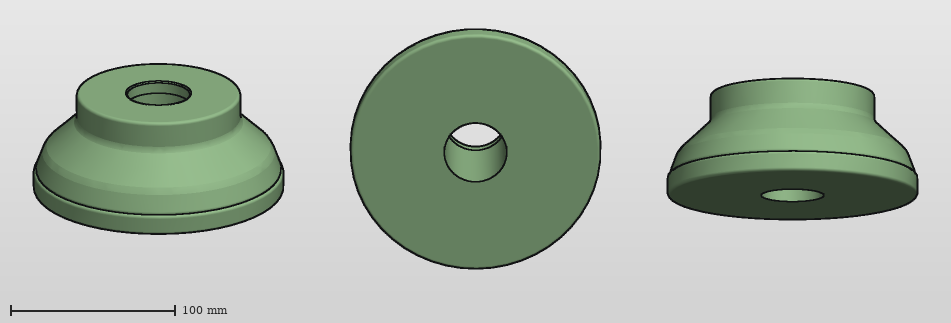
import cadquery as cq

total_height = 63.0
bore_radius = 19.0
bore_chamfer = 0.9

flange_radius = 76.2
flange_height = 12.5
edge_fillet = 2.0

neck_radius = 50.0
neck_foot_height = 45.3
shoulder_radius = 70.1
shoulder_height = 26.4
skirt_foot_height = 11.6
skirt_foot_radius = 75.6
neck_foot_fillet = 5.0
shoulder_fillet = 10.0
skirt_foot_fillet = edge_fillet

bell_wall = 7.6
hub_radius = neck_radius - bell_wall
hub_top = total_height - bell_wall


def circle_edge_at(body, radius, height):
    """Select the circular edge of a body that has this radius and height."""
    tolerance = 0.02

    def matches(edge):
        right_height = abs(edge.Center().z - height) < tolerance
        return edge.geomType() == "CIRCLE" and right_height and abs(edge.radius() - radius) < tolerance

    return body.edges().filter(matches)


def make_bell():
    """Revolved bell with rounded edges, a recess for the hub and a chamfered bore."""
    outline = [
        (0, skirt_foot_height),
        (skirt_foot_radius, skirt_foot_height),
        (shoulder_radius, shoulder_height),
        (neck_radius, neck_foot_height),
        (neck_radius, total_height),
        (0, total_height),
    ]
    bell = cq.Workplane("XZ").polyline(outline).close().revolve(360, (0, 0), (0, 1))
    rounded_edges = [
        (skirt_foot_radius, skirt_foot_height, skirt_foot_fillet),
        (shoulder_radius, shoulder_height, shoulder_fillet),
        (neck_radius, neck_foot_height, neck_foot_fillet),
        (neck_radius, total_height, edge_fillet),
    ]
    for radius, height, fillet in rounded_edges:
        bell = circle_edge_at(bell, radius, height).fillet(fillet)
    recess = cq.Workplane("XY").circle(hub_radius).extrude(hub_top)
    bore = cq.Workplane("XY").circle(bore_radius).extrude(total_height)
    bell = bell.cut(recess).cut(bore)
    return circle_edge_at(bell, bore_radius, total_height).chamfer(bore_chamfer)


def make_base(bell):
    """Flange with rounded rims, a shallow seat for the bell, central hub and through bore."""
    flange = cq.Workplane("XY").circle(flange_radius).extrude(flange_height)
    flange = flange.edges().fillet(edge_fillet)
    hub = cq.Workplane("XY").circle(hub_radius).extrude(hub_top)
    bore = cq.Workplane("XY").circle(bore_radius).extrude(hub_top)
    return flange.cut(bell).union(hub).cut(bore)


bell = make_bell()
base = make_base(bell)
result = cq.Compound.makeCompound([base.val(), bell.val()])